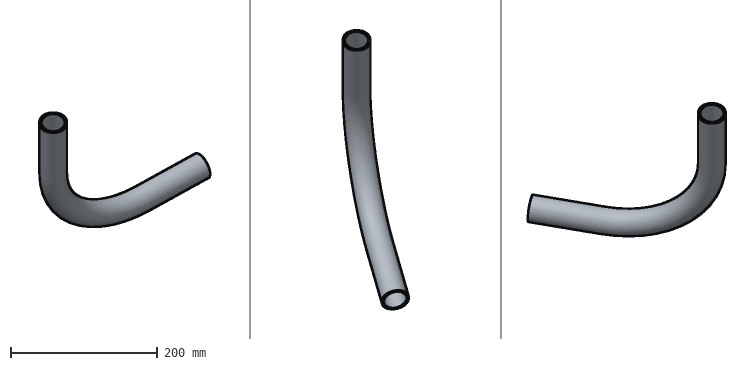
import cadquery as cq

overall_length = 273.0
outer_diameter = 38.2
inner_diameter = 32.0
bend_radius = 152.4
bend_angle = 90.0

leg_length = overall_length - bend_radius - outer_diameter / 2


def ring(plane):
    """Pipe cross-section centred on the origin of the given plane."""
    return cq.Workplane(plane).circle(outer_diameter / 2).circle(inner_diameter / 2)


upright_start = cq.Plane(origin=(0, -bend_radius, 0), xDir=(1, 0, 0), normal=(0, 0, 1))
level_start = cq.Plane(origin=(0, 0, -bend_radius), xDir=(1, 0, 0), normal=(0, 1, 0))

upright_leg = ring(upright_start).extrude(leg_length)
level_leg = ring(level_start).extrude(leg_length)

bend = ring(upright_start).revolve(bend_angle, (0, bend_radius, 0), (1, bend_radius, 0))

result = upright_leg.union(bend).union(level_leg)